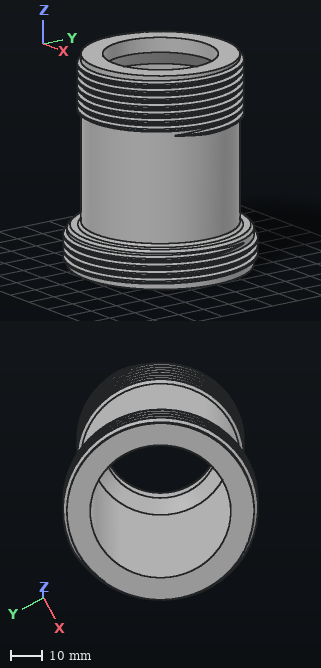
import cadquery as cq
import math

total_height = 70.0
tube_diameter = 51.0
flange_diameter = 60.0
flange_height = 13.1
flange_chamfer = 1.0
collar_height = 1.0

mouth_diameter = 37.0
mouth_depth = 5.0
lower_bore_diameter = 45.0
cone_length = 5.0

flange_thread_diameter = 62.45
ridge_height = (flange_thread_diameter - flange_diameter) / 2
ridge_root_width = 2.0
ridge_crest_width = 0.55
ridge_embed = 0.15
runout_angle = 26.0
runout_scales = (1.0, 0.7, 0.4, 0.08)

tube_thread_start_height = 50.1
tube_thread_start_angle = 0.0
tube_thread_turns = 7.5
tube_thread_rise = 18.75
thread_pitch = tube_thread_rise / tube_thread_turns

flange_thread_start_height = 1.3
flange_thread_start_angle = 90.0
flange_thread_turns = 3.75


def make_body():
    """Revolve the hollow tube, its flange and the stepped bore."""
    tube_radius = tube_diameter / 2
    flange_radius = flange_diameter / 2
    mouth_radius = mouth_diameter / 2
    bore_radius = lower_bore_diameter / 2
    mouth_bottom = total_height - mouth_depth
    outline = [
        (bore_radius, 0),
        (flange_radius, 0),
        (flange_radius, flange_height - flange_chamfer),
        (flange_radius - flange_chamfer, flange_height),
        (tube_radius + collar_height, flange_height),
        (tube_radius, flange_height + collar_height),
        (tube_radius, total_height),
        (mouth_radius, total_height),
        (mouth_radius, mouth_bottom),
        (bore_radius, mouth_bottom - cone_length),
    ]
    return cq.Workplane("XZ").polyline(outline).close().revolve(360, (0, 0), (0, 1))


def ridge_section(wall_radius, scale=1.0):
    """Trapezoid ridge section as (radius, height) points, its flanks running on into the wall.

    The scale shrinks the part of the section that stands proud of the wall.
    """
    root_radius = wall_radius - ridge_embed
    crest_radius = wall_radius + ridge_height * scale
    flank_run = (ridge_root_width - ridge_crest_width) / 2
    half_root = ridge_root_width * scale / 2 + ridge_embed * flank_run / ridge_height
    half_crest = ridge_crest_width * scale / 2
    return [
        (root_radius, -half_root),
        (crest_radius, -half_crest),
        (crest_radius, half_crest),
        (root_radius, half_root),
    ]


def make_runout(wall_radius, start_angle, direction):
    """Fade the ridge to nothing along the helix; direction is -1 before or +1 after the thread."""
    wires = []
    last_section = len(runout_scales) - 1
    for index, scale in enumerate(runout_scales):
        turned = direction * runout_angle * index / last_section
        rise = thread_pitch * turned / 360
        angle = math.radians(start_angle + turned)
        points = [
            cq.Vector(radius * math.cos(angle), radius * math.sin(angle), height + rise)
            for radius, height in ridge_section(wall_radius, scale)
        ]
        wires.append(cq.Wire.makePolygon(points, close=True))
    return cq.Workplane(cq.Solid.makeLoft(wires))


def make_thread(wall_diameter, start_height, start_angle, turns):
    """Helical ridge with a runout at both ends."""
    wall_radius = wall_diameter / 2
    rise = thread_pitch * turns
    helix = cq.Wire.makeHelix(thread_pitch, rise, wall_radius)
    section = cq.Workplane("XZ").polyline(ridge_section(wall_radius)).close()
    ridge = section.sweep(cq.Workplane(helix), isFrenet=True)
    lead_in = make_runout(wall_radius, 0, -1)
    lead_out = make_runout(wall_radius, 360 * turns, 1).translate((0, 0, rise))
    thread = ridge.union(lead_in).union(lead_out)
    return thread.rotate((0, 0, 0), (0, 0, 1), start_angle).translate((0, 0, start_height))


tube_thread = make_thread(
    tube_diameter, tube_thread_start_height, tube_thread_start_angle, tube_thread_turns
)
flange_thread = make_thread(
    flange_diameter, flange_thread_start_height, flange_thread_start_angle, flange_thread_turns
)

result = make_body().union(tube_thread).union(flange_thread)